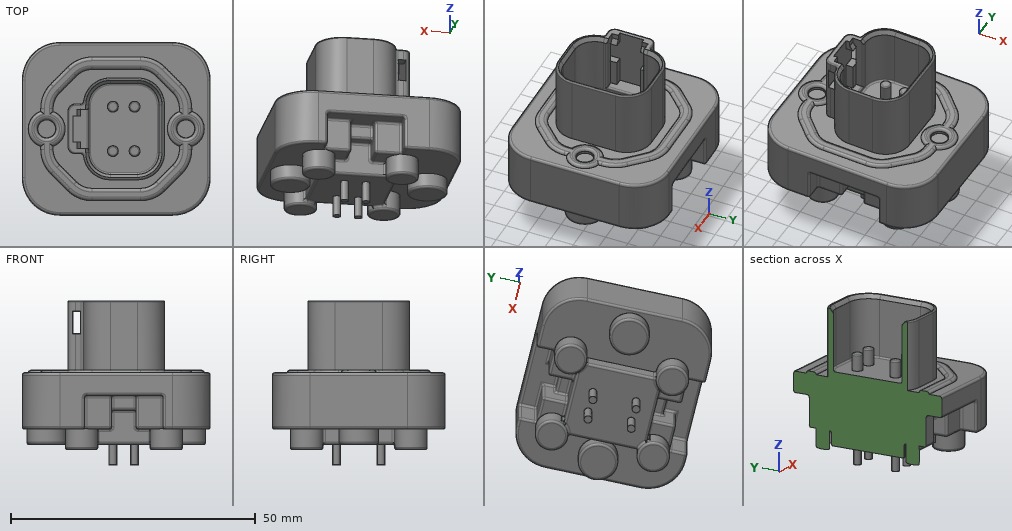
import cadquery as cq
import math


flange_height = 11.5
seal_height = 0.55
shroud_top = 26.15
core_bottom = -3.16
post_bottom = -4.22
pin_bottom = -7.3

flange_length = 38.35
flange_width = 35.26
flange_corner_radius = 7.7
flange_edge_radius = 0.55

seal_half_length = 15.45
seal_half_width = 14.7
seal_corner_cut = 7.58
seal_corner_radius = 7.1
seal_band_width = 2.6
seal_edge_radius = 0.78
screw_offset = 14.2
screw_ring_outer_radius = 3.8
screw_ring_inner_radius = 1.83
screw_recess_depth = 0.5

shroud_center_x = 1.56
shroud_half_length = 8.29
shroud_half_width = 10.4
shroud_corner_radius = 5.53
shroud_rim_radius = 0.25
shroud_wall = 1.12
key_face_x = -9.85
key_half_width = 5.07
key_corner_radius = 1.5
key_root_radius = 0.5

cavity_depth = 13.35
cavity_floor_radius = 0.35
lead_in_width = 0.62
lead_in_height = 0.9

key_floor_step = 1.0
key_mouth_radius = 0.35
key_slot_x = -8.86
key_slot_half_width = 2.63
key_recess_x = -8.04
key_recess_half_width = 4.0
hook_face_x = -7.3
hook_ramp_height = 1.06
window_bottom = 19.5
window_top = 24.0

pin_xs = (-0.69, 3.74)
pin_half_pitch = 4.53
contact_radius = 1.1
contact_tip_radius = 0.25
contact_height = 3.5
tail_radius = 0.8

core_half_length = 8.14
core_half_width = 8.7
post_root_radius = 0.5
post_half_pitch_x = 8.64
post_half_pitch_y = 10.64
post_radius = 3.31
boss_radius = 4.05
underside_edge_radius = 0.5

notch_half_length = 8.03
notch_height = 6.85
notch_face_y = 13.93
channel_half_length = 2.5
channel_face_y = 11.25
channel_step_height = 3.82
notch_edge_radius = 0.48

overlap = 1.0

seal_skirt = 0.1

seal_top = flange_height + seal_height
seal_bottom = seal_top - seal_edge_radius - seal_skirt
shroud_bottom = flange_height - overlap
cavity_floor = shroud_top - cavity_depth
pocket_floor = cavity_floor + key_floor_step
cavity_half_length = shroud_half_length - shroud_wall
cavity_half_width = shroud_half_width - shroud_wall
cavity_corner_radius = shroud_corner_radius - shroud_wall


def block(x_min, x_max, y_min, y_max, z_min, z_max):
    """Box given by its limits."""
    size = (x_max - x_min, y_max - y_min, z_max - z_min)
    return cq.Workplane("XY").box(*size, centered=False).translate((x_min, y_min, z_min))


def symmetric_block(center_x, half_length, half_width, z_min, z_max):
    """Box symmetric in Y about a given X."""
    return block(
        center_x - half_length, center_x + half_length, -half_width, half_width, z_min, z_max
    )


def cylinder(x, y, radius, z_min, z_max):
    """Upright cylinder."""
    return cq.Workplane("XY", origin=(x, y, z_min)).circle(radius).extrude(z_max - z_min)


def both_sides(solid):
    """The solid joined with its mirror image across the XZ plane."""
    return solid.union(solid.mirror("XZ"))


def fillet_at(solid, radius, points):
    """Round the edges that lie nearest to the given points."""
    edges = solid.newObject([])
    for point in points:
        edges = edges.add(solid.edges(cq.selectors.NearestToPointSelector(point)))
    return edges.fillet(radius)


def in_both_notches(points):
    """Repeat points (distance from the notch's mid-plane, distance from Y = 0, Z) for every corner."""
    repeated = []
    for offset, y, z in points:
        for offset_x in {offset, -offset}:
            for side_y in (-1, 1):
                repeated.append((shroud_center_x + offset_x, side_y * y, z))
    return repeated


def notch_cutter():
    """Space of the -Y notch: a wide bay with a two-step channel in its middle."""

    def bay(half_length, face_y, height):
        return block(
            shroud_center_x - half_length, shroud_center_x + half_length,
            -flange_width, -face_y, core_bottom, height,
        )

    return (
        bay(notch_half_length, notch_face_y, notch_height)
        .union(bay(channel_half_length, channel_face_y, notch_height))
        .union(bay(channel_half_length, core_half_width, channel_step_height))
    )


def make_flange():
    """Flange with a notch in each long side, joined to the core block below it."""
    flange = symmetric_block(0, flange_length / 2, flange_width / 2, 0, flange_height)
    flange = flange.edges("|Z").fillet(flange_corner_radius)
    flange = flange.faces(">Z").edges().fillet(flange_edge_radius)
    flange = flange.cut(both_sides(notch_cutter()))

    core = symmetric_block(shroud_center_x, core_half_length, core_half_width, core_bottom, 0)
    return flange.union(core)


def round_notches(flange):
    """Round the notch edges: channel step, inner corners, channel mouths, openings, lower rims."""
    rim_y = flange_width / 2
    mid_height = notch_height / 2
    upper_channel_height = (channel_step_height + notch_height) / 2
    mid_bay_x = (notch_half_length + channel_half_length) / 2
    mid_bay_y = (rim_y + notch_face_y) / 2
    mid_channel_y = (notch_face_y + channel_face_y) / 2

    channel_steps = [(0, channel_face_y, channel_step_height)]
    inner_corners = [
        (notch_half_length, notch_face_y, mid_height),
        (channel_half_length, channel_face_y, upper_channel_height),
        (mid_bay_x, notch_face_y, notch_height),
        (notch_half_length, mid_bay_y, notch_height),
        (0, channel_face_y, notch_height),
        (channel_half_length, mid_channel_y, notch_height),
    ]
    channel_mouths = [(channel_half_length, notch_face_y, mid_height)]
    openings = [(notch_half_length, rim_y, mid_height), (0, rim_y, notch_height)]
    lower_rims = [
        (mid_bay_x, notch_face_y, 0),
        (notch_half_length, mid_bay_y, 0),
        (channel_half_length, mid_channel_y, 0),
        (notch_half_length + notch_edge_radius, rim_y, 0),
    ]
    for group in (channel_steps, inner_corners, channel_mouths, openings, lower_rims):
        flange = fillet_at(flange, notch_edge_radius, in_both_notches(group))
    return flange


def round_core_roots(base):
    """Blend the core block into the channel walls, the channel step and the bay undersides."""
    post_reach = math.sqrt(post_radius**2 - (post_half_pitch_y - core_half_width) ** 2)
    root_end_x = post_half_pitch_x - post_reach
    roots = [
        (0, core_half_width, channel_step_height),
        (channel_half_length, core_half_width, channel_step_height / 2),
        ((channel_half_length + root_end_x) / 2, core_half_width, 0),
    ]
    return fillet_at(base, notch_edge_radius, in_both_notches(roots))


def round_short_side_seams(base):
    """Blend the posts into the short sides of the core block."""
    reach_y = math.sqrt(post_radius**2 - (post_half_pitch_x - core_half_length) ** 2)
    seam = (core_half_length, post_half_pitch_y - reach_y, core_bottom / 2)
    return fillet_at(base, post_root_radius, in_both_notches([seam]))


def make_long_side_gusset():
    """Hollow-faced gusset, tangent to the core's long side and to the post at +X, +Y."""
    center_distance = post_radius + post_root_radius
    hollow_y = core_half_width + post_root_radius
    rise = post_half_pitch_y - hollow_y
    run = math.sqrt(center_distance**2 - rise**2)
    hollow_x = post_half_pitch_x - run
    touch_y = hollow_y + rise * post_root_radius / center_distance
    bottom = core_bottom + underside_edge_radius
    gusset = block(
        hollow_x, hollow_x + post_root_radius,
        core_half_width - post_root_radius, touch_y, bottom, overlap,
    )
    gusset = gusset.cut(cylinder(hollow_x, hollow_y, post_root_radius, bottom, overlap))
    return gusset.translate((shroud_center_x, 0, 0))


def add_long_side_gussets(base):
    """Gussets at all four posts."""
    gussets = both_sides(make_long_side_gusset())
    return base.union(gussets).union(gussets.mirror("YZ", (shroud_center_x, 0, 0)))


def round_core_bottom(base):
    """Round the lower edge of the core block between the posts."""
    core_face = base.faces(cq.selectors.NearestToPointSelector((shroud_center_x, 0, core_bottom)))
    return core_face.edges().fillet(underside_edge_radius)


def make_foot(x, y, radius, bottom):
    """Round foot under the flange with a rounded lower edge."""
    return cylinder(x, y, radius, bottom, overlap).faces("<Z").edges().fillet(underside_edge_radius)


def make_base():
    """Flange, core block, four posts and two screw bosses."""
    base = round_notches(make_flange())
    for side_x in (-1, 1):
        for side_y in (-1, 1):
            post_x = shroud_center_x + side_x * post_half_pitch_x
            base = base.union(make_foot(post_x, side_y * post_half_pitch_y, post_radius, post_bottom))
    base = round_core_bottom(round_short_side_seams(base))
    base = add_long_side_gussets(round_core_roots(base))
    for side_x in (-1, 1):
        base = base.union(make_foot(side_x * screw_offset, 0, boss_radius, core_bottom))
    return base


def seal_octagon(inset):
    """Solid rounded octagon, moved inward from the outer edge of the seal loop."""
    half_length = seal_half_length - inset
    half_width = seal_half_width - inset
    corner_cut = seal_corner_cut - inset * (2 - math.sqrt(2))
    octagon = symmetric_block(0, half_length, half_width, seal_bottom, seal_top)
    octagon = octagon.edges("|Z").chamfer(corner_cut)
    return octagon.edges("|Z").fillet(seal_corner_radius - inset)


def make_seal():
    """Octagonal ridge with a ring at each screw position, all rounded on top."""
    loop = seal_octagon(0).cut(seal_octagon(seal_band_width))
    loop = loop.faces(">Z").edges().fillet(seal_edge_radius)
    rings = []
    mid_radius = (screw_ring_outer_radius + screw_ring_inner_radius) / 2
    for x in (-screw_offset, screw_offset):
        loop = loop.cut(cylinder(x, 0, mid_radius, seal_bottom, seal_top))
        ring = cylinder(x, 0, screw_ring_outer_radius, seal_bottom, seal_top)
        ring = ring.cut(cylinder(x, 0, screw_ring_inner_radius, seal_bottom, seal_top))
        rings.append(ring.faces(">Z").edges().fillet(seal_edge_radius))
    for ring in rings:
        loop = loop.union(ring)
    return loop


def make_shroud_body():
    """Outside of the shroud: rounded tube body with the key housing on its -X side."""
    body = symmetric_block(
        shroud_center_x, shroud_half_length, shroud_half_width, shroud_bottom, shroud_top
    )
    body = body.edges("|Z").fillet(shroud_corner_radius)
    key = block(
        key_face_x, shroud_center_x, -key_half_width, key_half_width, shroud_bottom, shroud_top
    )
    key = key.edges("|Z and <X").fillet(key_corner_radius)
    body = body.union(key)
    root_x = shroud_center_x - shroud_half_length
    mid_z = (shroud_bottom + shroud_top) / 2
    roots = [(root_x, side_y * key_half_width, mid_z) for side_y in (-1, 1)]
    body = fillet_at(body, key_root_radius, roots)
    return body.faces(">Z").edges().fillet(shroud_rim_radius)


def make_cavity():
    """Space inside the shroud: a rounded bore with a rounded floor."""
    bore = symmetric_block(
        shroud_center_x, cavity_half_length, cavity_half_width, cavity_floor, shroud_top
    )
    bore = bore.edges("|Z").fillet(cavity_corner_radius)
    return bore.faces("<Z").edges().fillet(cavity_floor_radius)


def make_lead_in():
    """Tapered mouth of the cavity."""
    return (
        cq.Workplane("XY", origin=(shroud_center_x, 0, shroud_top))
        .sketch()
        .rect(2 * (cavity_half_length + lead_in_width), 2 * (cavity_half_width + lead_in_width))
        .vertices()
        .fillet(cavity_corner_radius + lead_in_width)
        .finalize()
        .extrude(-lead_in_height, taper=math.degrees(math.atan2(lead_in_width, lead_in_height)))
    )


def make_key_pocket():
    """Space inside the key housing: stepped pocket narrowed by two ramped latch hooks."""
    slot = block(
        key_slot_x, shroud_center_x, -key_slot_half_width, key_slot_half_width,
        pocket_floor, shroud_top,
    )
    ramp_top = window_top + hook_ramp_height
    recess = (
        cq.Workplane("XZ", origin=(0, key_recess_half_width, 0))
        .moveTo(shroud_center_x, pocket_floor)
        .lineTo(hook_face_x, pocket_floor)
        .lineTo(hook_face_x, window_top)
        .lineTo(key_recess_x, ramp_top)
        .lineTo(key_recess_x, shroud_top)
        .lineTo(shroud_center_x, shroud_top)
        .close()
        .extrude(2 * key_recess_half_width)
    )
    return slot.union(recess)


def round_key_mouth(connector):
    """Round the edges where the key pocket opens into the cavity."""
    wall_x = shroud_center_x - cavity_half_length
    mid_height = (pocket_floor + shroud_top) / 2
    mouth = [
        (wall_x, -key_recess_half_width, mid_height),
        (wall_x, key_recess_half_width, mid_height),
        (wall_x, 0, pocket_floor),
    ]
    return fillet_at(connector, key_mouth_radius, mouth)


def make_window():
    """Opening across the key housing behind which the mating latch snaps."""
    return block(
        key_slot_x, hook_face_x, -shroud_half_width, shroud_half_width, window_bottom, window_top
    )


def make_pin(x, y):
    """Contact in the cavity with a rounded tip, continued as a thinner tail below the core."""
    contact = cylinder(x, y, contact_radius, cavity_floor - overlap, cavity_floor + contact_height)
    contact = contact.faces(">Z").edges().fillet(contact_tip_radius)
    tail = cylinder(x, y, tail_radius, pin_bottom, core_bottom + overlap)
    return contact.union(tail)


def make_connector():
    """The whole connector header as one solid."""
    connector = make_base().union(make_seal()).union(make_shroud_body())
    for x in (-screw_offset, screw_offset):
        recess_floor = flange_height - screw_recess_depth
        connector = connector.cut(cylinder(x, 0, screw_ring_inner_radius, recess_floor, seal_top))
    connector = round_key_mouth(connector.cut(make_cavity()).cut(make_key_pocket()))
    connector = connector.cut(make_lead_in()).cut(make_window())
    for x in pin_xs:
        for y in (-pin_half_pitch, pin_half_pitch):
            connector = connector.union(make_pin(x, y))
    return connector


result = make_connector()